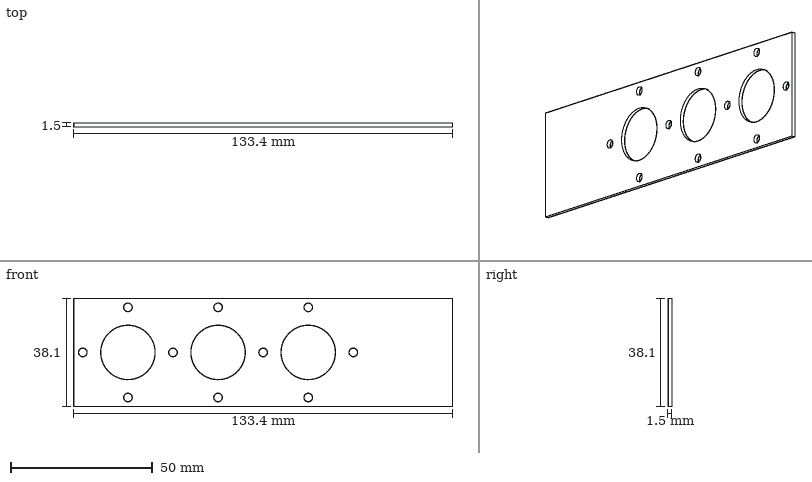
import cadquery as cq

length = 133.4
thickness = 1.5
height = 38.1

opening_diameter = 19.1
screw_diameter = 3.0
opening_count = 3
pitch = 31.7
first_opening_x = 19.1
screw_offset = pitch / 2

opening_points = [
    (first_opening_x + i * pitch - length / 2, 0) for i in range(opening_count)
]

middle_screws = [(opening_points[0][0] - screw_offset, 0)]
outer_screws = []
for x, z in opening_points:
    middle_screws.append((x + screw_offset, z))
    outer_screws.append((x, z + screw_offset))
    outer_screws.append((x, z - screw_offset))


def through_holes(points, diameter):
    """Cylinders along Y that pass through the whole plate."""
    return (
        cq.Workplane("XZ")
        .pushPoints(points)
        .circle(diameter / 2)
        .extrude(thickness, both=True)
    )


plate = cq.Workplane("XY").box(length, thickness, height)
openings = through_holes(opening_points, opening_diameter)
screw_holes = through_holes(middle_screws + outer_screws, screw_diameter)

result = plate.cut(openings).cut(screw_holes)